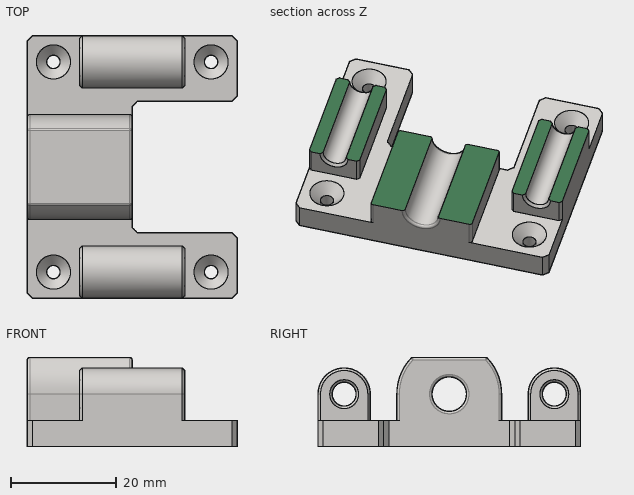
import cadquery as cq
import math

PLATE_LENGTH = 40.0
PLATE_WIDTH = 50.0
PLATE_THICKNESS = 5.0
NOTCH_WIDTH = 25.0
NOTCH_DEPTH = PLATE_LENGTH / 2
PLATE_CORNER_CHAMFER = 1.0

BORE_AXIS_Z = 10.0

BLOCK_LENGTH = PLATE_LENGTH - NOTCH_DEPTH
BLOCK_RADIUS = 10.0
BLOCK_TOP_Z = 17.0
BLOCK_BORE_DIAMETER = 6.5
BLOCK_FILLET = 0.5

BARREL_LENGTH = 20.0
BARREL_RADIUS = 5.0
BARREL_START_X = (PLATE_LENGTH - BARREL_LENGTH) / 2
BARREL_OFFSET_Y = PLATE_WIDTH / 2 - BARREL_RADIUS
BARREL_BORE_DIAMETER = 4.5
END_CHAMFER = 0.5

SCREW_EDGE_DISTANCE = 5.0
SCREW_DIAMETER = 2.5
SCREW_HEAD_DIAMETER = 6.5
SCREW_HEAD_ANGLE = 90.0


def make_plate():
    """Plate with a notch open toward +X and chamfered vertical corners."""
    half_width = PLATE_WIDTH / 2
    half_notch = NOTCH_WIDTH / 2
    notch_x = PLATE_LENGTH - NOTCH_DEPTH
    return (
        cq.Workplane("XY")
        .moveTo(0, -half_width)
        .lineTo(PLATE_LENGTH, -half_width)
        .lineTo(PLATE_LENGTH, -half_notch)
        .lineTo(notch_x, -half_notch)
        .lineTo(notch_x, half_notch)
        .lineTo(PLATE_LENGTH, half_notch)
        .lineTo(PLATE_LENGTH, half_width)
        .lineTo(0, half_width)
        .close()
        .extrude(PLATE_THICKNESS)
        .edges("|Z")
        .chamfer(PLATE_CORNER_CHAMFER)
    )


def make_barrel(center_y):
    """Round-topped block along X, with chamfered end outlines."""
    return (
        cq.Workplane("YZ", origin=(BARREL_START_X, center_y, 0))
        .moveTo(-BARREL_RADIUS, PLATE_THICKNESS)
        .lineTo(BARREL_RADIUS, PLATE_THICKNESS)
        .lineTo(BARREL_RADIUS, BORE_AXIS_Z)
        .threePointArc((0, BORE_AXIS_Z + BARREL_RADIUS), (-BARREL_RADIUS, BORE_AXIS_Z))
        .close()
        .extrude(BARREL_LENGTH)
        .faces("<X or >X")
        .edges("not <Z")
        .chamfer(END_CHAMFER)
    )


def make_block():
    """Central block along X, with rounded shoulder edges and rounded end outlines."""
    rise = BLOCK_TOP_Z - BORE_AXIS_Z
    half_flat = math.sqrt(BLOCK_RADIUS**2 - rise**2)
    mid_angle = math.asin(rise / BLOCK_RADIUS) / 2
    mid_y = BLOCK_RADIUS * math.cos(mid_angle)
    mid_z = BORE_AXIS_Z + BLOCK_RADIUS * math.sin(mid_angle)
    return (
        cq.Workplane("YZ")
        .moveTo(-BLOCK_RADIUS, PLATE_THICKNESS)
        .lineTo(BLOCK_RADIUS, PLATE_THICKNESS)
        .lineTo(BLOCK_RADIUS, BORE_AXIS_Z)
        .threePointArc((mid_y, mid_z), (half_flat, BLOCK_TOP_Z))
        .lineTo(-half_flat, BLOCK_TOP_Z)
        .threePointArc((-mid_y, mid_z), (-BLOCK_RADIUS, BORE_AXIS_Z))
        .close()
        .extrude(BLOCK_LENGTH)
        .faces(">Z")
        .edges("|X")
        .fillet(BLOCK_FILLET)
        .faces("<X or >X")
        .edges("not <Z")
        .fillet(BLOCK_FILLET)
    )


def make_barrel_bore(center_y):
    """Cutter for a bore through a barrel, with a chamfer at each mouth."""
    radius = BARREL_BORE_DIAMETER / 2
    mouth_radius = radius + END_CHAMFER
    return (
        cq.Workplane("XY", origin=(BARREL_START_X, center_y, BORE_AXIS_Z))
        .lineTo(0, mouth_radius)
        .lineTo(END_CHAMFER, radius)
        .lineTo(BARREL_LENGTH - END_CHAMFER, radius)
        .lineTo(BARREL_LENGTH, mouth_radius)
        .lineTo(BARREL_LENGTH, 0)
        .close()
        .revolve(360, (0, 0, 0), (1, 0, 0))
    )


def make_block_bore():
    """Cutter for the bore through the block, flaring to a rounded edge at each mouth."""
    radius = BLOCK_BORE_DIAMETER / 2
    mouth_radius = radius + BLOCK_FILLET
    inset = BLOCK_FILLET * (1 - math.sqrt(0.5))
    return (
        cq.Workplane("XY", origin=(0, 0, BORE_AXIS_Z))
        .lineTo(0, mouth_radius)
        .threePointArc((inset, radius + inset), (BLOCK_FILLET, radius))
        .lineTo(BLOCK_LENGTH - BLOCK_FILLET, radius)
        .threePointArc((BLOCK_LENGTH - inset, radius + inset), (BLOCK_LENGTH, mouth_radius))
        .lineTo(BLOCK_LENGTH, 0)
        .close()
        .revolve(360, (0, 0, 0), (1, 0, 0))
    )


def drill_screw_holes(plate):
    """Countersunk through holes near the four outer corners of the plate."""
    return (
        plate.faces(">Z")
        .workplane(origin=(PLATE_LENGTH / 2, 0, PLATE_THICKNESS))
        .rect(
            PLATE_LENGTH - 2 * SCREW_EDGE_DISTANCE,
            PLATE_WIDTH - 2 * SCREW_EDGE_DISTANCE,
            forConstruction=True,
        )
        .vertices()
        .cskHole(SCREW_DIAMETER, SCREW_HEAD_DIAMETER, SCREW_HEAD_ANGLE)
    )


result = drill_screw_holes(make_plate())
result = result.union(make_block()).cut(make_block_bore())
for barrel_y in (-BARREL_OFFSET_Y, BARREL_OFFSET_Y):
    result = result.union(make_barrel(barrel_y)).cut(make_barrel_bore(barrel_y))